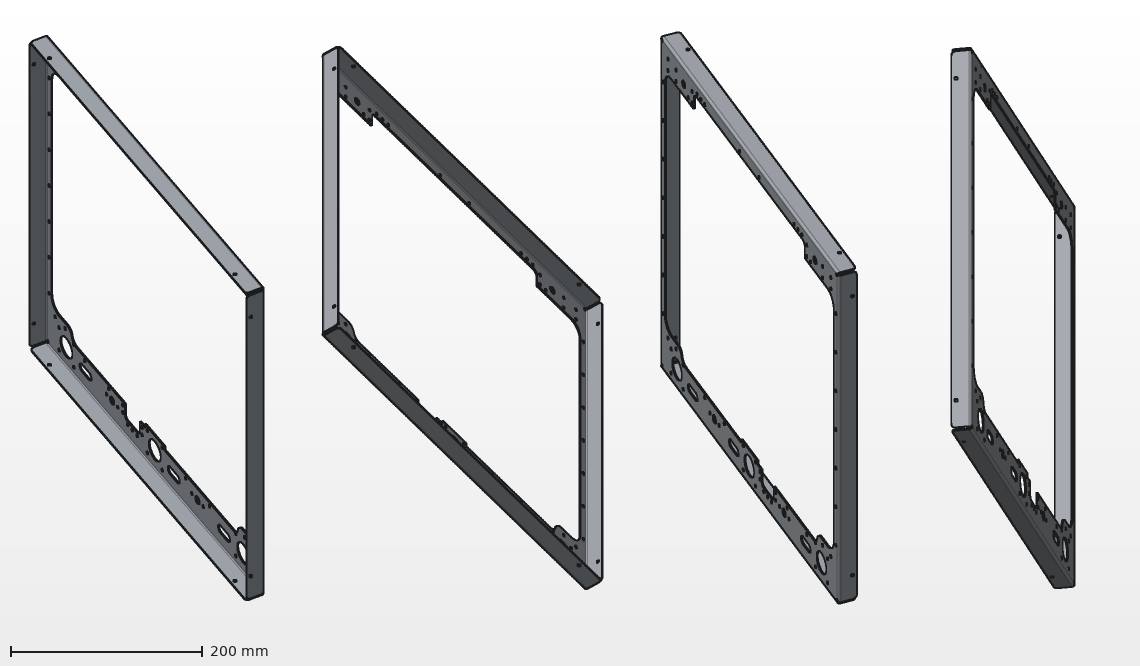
import cadquery as cq
import math

WIDTH = 459.0
DEPTH = 21.5
HEIGHT = 429.0
SHEET = 1.5
BEND_RADIUS = 3.0
BACK = DEPTH / 2

LONG_FLANGE_GAP = 2.0
SIDE_FLANGE_GAP = 3.0
TIP_RADIUS = 4.0
RELIEF_RADIUS = 1.6
RELIEF_INSET = 3.9

OPENING_HALF_WIDTH = 218.0
OPENING_RADIUS = 16.5
HEADER_Z = 197.5
TOP_PAD_X = 143.0
TOP_PAD_Z = 177.0
TOP_PAD_RADIUS = 6.0
LOWER_PAD_X = 185.0
LOWER_PAD_Z = -156.5
LOWER_PAD_RADIUS = 10.0
SILL_Z = -172.5
RAISED_HALF_WIDTH = 20.5
RAISED_Z = -168.0
NOTCH_LEFT = -63.0
NOTCH_RIGHT = -31.5
NOTCH_Z = -192.5
NOTCH_RADIUS = 5.0
EDGE_RADIUS = 1.5

SCREW_DIAMETER = 3.4
PITCH = 10.0
PAD_SCREW_XS = (210.0, 189.0)
PAD_SCREW_INNER_X = 148.0
PAD_SCREW_ROWS = (197.0, 182.0)
LOWER_PAD_SCREW_Z = -164.5
HEADER_SCREW_Z = 202.0
HEADER_TRIO_X = 125.5
HEADER_SINGLE_X = 25.2
SILL_SCREW_XS = (-148.3, -97.5, 64.5, 115.0)
SILL_SCREW_Z = -177.5
NOTCH_SCREW_OFFSET = 4.5
UPPER_ACCESS_DIAMETER = 8.3
UPPER_ACCESS_X = 169.5
UPPER_ACCESS_Z = 192.0
LOWER_ACCESS_DIAMETER = 9.0
LOWER_ACCESS_X = 90.0
ACCESS_SCREW_OFFSET = 12.0
BORE_X = 186.5
BORE_XS = (-BORE_X, 0, BORE_X)
BORE_Z = -188.5
BORE_DIAMETER = 25.2
BORE_SCREW_SPACING = 31.0
SLOT_XS = (-146.0, 40.0, 146.0)
SLOT_Z = -192.0
SLOT_LENGTH = 25.2
SLOT_HEIGHT = 10.0
SIDE_HOLE_X = 223.0
SIDE_HOLE_TOP = 159.0
SIDE_HOLE_STEP = 50.0
SIDE_HOLE_COUNT = 7
FLANGE_HOLE_X = 195.5
FLANGE_HOLE_Z = 181.0
FLANGE_HOLE_Y = -BACK + 5.0


def mirrored(points):
    """The points together with their mirror images across X = 0."""
    return points + [(-x, z) for x, z in points]


def flange(length, reach):
    """A flange with its bend, running along X, its outer face at Z = reach."""
    inner_radius = BEND_RADIUS - SHEET
    bend_y = BACK - BEND_RADIUS
    bend_z = reach - BEND_RADIUS
    diagonal = math.sqrt(0.5)
    body = (
        cq.Workplane("YZ")
        .moveTo(-BACK, reach)
        .lineTo(bend_y, reach)
        .threePointArc((bend_y + BEND_RADIUS * diagonal, bend_z + BEND_RADIUS * diagonal), (BACK, bend_z))
        .lineTo(BACK - SHEET, bend_z)
        .threePointArc(
            (bend_y + inner_radius * diagonal, bend_z + inner_radius * diagonal),
            (bend_y, reach - SHEET),
        )
        .lineTo(-BACK, reach - SHEET)
        .close()
        .extrude(length / 2, both=True)
    )
    return body.faces("<Y").edges("|Z").fillet(TIP_RADIUS)


def panel_cut(outline):
    """A closed outline in X and Z made into a cutter reaching through the panel but not the bent flanges."""
    return outline.extrude(BEND_RADIUS, both=True)


def panel_sketch():
    return cq.Workplane("XZ", origin=(0, BACK, 0))


def opening():
    drop = LOWER_PAD_Z - SILL_Z
    turn = math.acos(1 - drop / (2 * LOWER_PAD_RADIUS))
    half_run = LOWER_PAD_RADIUS * math.sin(turn)
    bulge_run = LOWER_PAD_RADIUS * math.sin(turn / 2)
    bulge_drop = LOWER_PAD_RADIUS * (1 - math.cos(turn / 2))
    middle_x = LOWER_PAD_X - half_run
    sill_x = LOWER_PAD_X - 2 * half_run
    middle_z = LOWER_PAD_Z - drop / 2
    outline = (
        panel_sketch()
        .moveTo(-OPENING_HALF_WIDTH, TOP_PAD_Z)
        .lineTo(-TOP_PAD_X, TOP_PAD_Z)
        .lineTo(-TOP_PAD_X, HEADER_Z)
        .lineTo(TOP_PAD_X, HEADER_Z)
        .lineTo(TOP_PAD_X, TOP_PAD_Z)
        .lineTo(OPENING_HALF_WIDTH, TOP_PAD_Z)
        .lineTo(OPENING_HALF_WIDTH, LOWER_PAD_Z)
        .lineTo(LOWER_PAD_X, LOWER_PAD_Z)
        .threePointArc((LOWER_PAD_X - bulge_run, LOWER_PAD_Z - bulge_drop), (middle_x, middle_z))
        .threePointArc((sill_x + bulge_run, SILL_Z + bulge_drop), (sill_x, SILL_Z))
        .lineTo(RAISED_HALF_WIDTH, SILL_Z)
        .lineTo(RAISED_HALF_WIDTH, RAISED_Z)
        .lineTo(-RAISED_HALF_WIDTH, RAISED_Z)
        .lineTo(-RAISED_HALF_WIDTH, SILL_Z)
        .lineTo(NOTCH_RIGHT, SILL_Z)
        .lineTo(NOTCH_RIGHT, NOTCH_Z)
        .lineTo(NOTCH_LEFT, NOTCH_Z)
        .lineTo(NOTCH_LEFT, SILL_Z)
        .lineTo(-sill_x, SILL_Z)
        .threePointArc((-sill_x - bulge_run, SILL_Z + bulge_drop), (-middle_x, middle_z))
        .threePointArc((bulge_run - LOWER_PAD_X, LOWER_PAD_Z - bulge_drop), (-LOWER_PAD_X, LOWER_PAD_Z))
        .lineTo(-OPENING_HALF_WIDTH, LOWER_PAD_Z)
        .close()
    )
    notch_xs = (NOTCH_LEFT, NOTCH_RIGHT)
    rounded_corners = [
        (OPENING_RADIUS, mirrored([(OPENING_HALF_WIDTH, TOP_PAD_Z), (OPENING_HALF_WIDTH, LOWER_PAD_Z)])),
        (TOP_PAD_RADIUS, mirrored([(TOP_PAD_X, HEADER_Z)])),
        (EDGE_RADIUS, mirrored([(TOP_PAD_X, TOP_PAD_Z)]) + [(x, SILL_Z) for x in notch_xs]),
        (NOTCH_RADIUS, [(x, NOTCH_Z) for x in notch_xs]),
    ]
    cutter = panel_cut(outline)
    for radius, corners in rounded_corners:
        for x, z in corners:
            cutter = cutter.edges(cq.NearestToPointSelector((x, BACK, z))).fillet(radius)
    return cutter


def round_holes(points, diameter):
    return panel_cut(panel_sketch().pushPoints(points).circle(diameter / 2))


def row_of_three(middle_x, z):
    """Three screw holes one pitch apart."""
    return [(middle_x + step * PITCH, z) for step in (-1, 0, 1)]


def corner_pad_screws():
    inner_x = PAD_SCREW_INNER_X
    upper_row, lower_row = PAD_SCREW_ROWS
    points = [(x, z) for x in PAD_SCREW_XS for z in (upper_row, lower_row, LOWER_PAD_SCREW_Z)]
    points += [(inner_x, upper_row), (inner_x, lower_row), (inner_x + PITCH, lower_row)]
    return mirrored(points)


def header_screws():
    return mirrored(row_of_three(HEADER_TRIO_X, HEADER_SCREW_Z) + [(HEADER_SINGLE_X, HEADER_SCREW_Z)])


def side_screws():
    return mirrored([(SIDE_HOLE_X, SIDE_HOLE_TOP - step * SIDE_HOLE_STEP) for step in range(SIDE_HOLE_COUNT)])


def sill_screws():
    """Screws along the sill, around its notch and beside the lower access holes."""
    points = [(x, SILL_SCREW_Z) for x in SILL_SCREW_XS]
    notch_sides = (NOTCH_LEFT - NOTCH_SCREW_OFFSET, NOTCH_RIGHT + NOTCH_SCREW_OFFSET)
    points += [(x, z) for x in notch_sides for z in (SILL_SCREW_Z, SILL_SCREW_Z - PITCH)]
    points += row_of_three((NOTCH_LEFT + NOTCH_RIGHT) / 2, NOTCH_Z - NOTCH_SCREW_OFFSET)
    access_sides = (LOWER_ACCESS_X - ACCESS_SCREW_OFFSET, LOWER_ACCESS_X + ACCESS_SCREW_OFFSET)
    points += mirrored([(x, BORE_Z) for x in access_sides])
    return points


def bore_screws():
    offset = BORE_SCREW_SPACING / 2
    return [
        (x + dx, BORE_Z + dz)
        for x in BORE_XS
        for dx in (-offset, offset)
        for dz in (-offset, offset)
    ]


def slots():
    centres = [(x, SLOT_Z) for x in SLOT_XS]
    return panel_cut(panel_sketch().pushPoints(centres).slot2D(SLOT_LENGTH, SLOT_HEIGHT))


def flange_holes():
    vertical = (
        cq.Workplane("XY")
        .pushPoints([(-FLANGE_HOLE_X, FLANGE_HOLE_Y), (FLANGE_HOLE_X, FLANGE_HOLE_Y)])
        .circle(SCREW_DIAMETER / 2)
        .extrude(HEIGHT, both=True)
    )
    crosswise = (
        cq.Workplane("YZ")
        .pushPoints([(FLANGE_HOLE_Y, -FLANGE_HOLE_Z), (FLANGE_HOLE_Y, FLANGE_HOLE_Z)])
        .circle(SCREW_DIAMETER / 2)
        .extrude(WIDTH, both=True)
    )
    return vertical.union(crosswise)


flat_x = WIDTH / 2 - BEND_RADIUS
flat_z = HEIGHT / 2 - BEND_RADIUS
frame = panel_sketch().rect(2 * flat_x, 2 * flat_z).extrude(SHEET)

long_flange = flange(WIDTH - 2 * LONG_FLANGE_GAP, HEIGHT / 2)
side_flange = flange(HEIGHT - 2 * SIDE_FLANGE_GAP, WIDTH / 2)
for body, angle in ((long_flange, 0), (side_flange, 90), (long_flange, 180), (side_flange, 270)):
    frame = frame.union(body.rotate((0, 0, 0), (0, 1, 0), angle))

relief_x = WIDTH / 2 - RELIEF_INSET
relief_z = HEIGHT / 2 - RELIEF_INSET
frame = frame.cut(round_holes(mirrored([(relief_x, relief_z), (relief_x, -relief_z)]), 2 * RELIEF_RADIUS))

frame = frame.cut(opening())
panel_screws = corner_pad_screws() + header_screws() + side_screws() + sill_screws() + bore_screws()
frame = frame.cut(round_holes(panel_screws, SCREW_DIAMETER))
frame = frame.cut(round_holes(mirrored([(UPPER_ACCESS_X, UPPER_ACCESS_Z)]), UPPER_ACCESS_DIAMETER))
frame = frame.cut(round_holes(mirrored([(LOWER_ACCESS_X, BORE_Z)]), LOWER_ACCESS_DIAMETER))
frame = frame.cut(round_holes([(x, BORE_Z) for x in BORE_XS], BORE_DIAMETER))
frame = frame.cut(slots())
frame = frame.cut(flange_holes())

result = frame